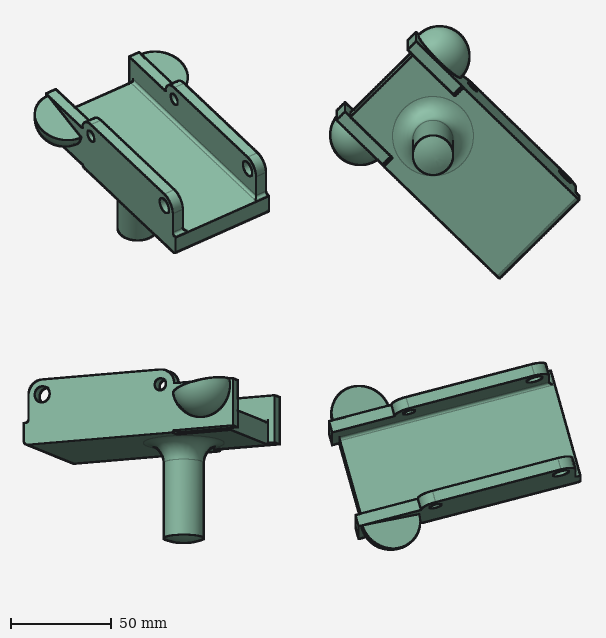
import cadquery as cq
import math

length = 113.9
channel_width = 56.0
wall_thickness = 6.0
wall_height = 32.4
floor_thickness = 11.2
floor_start = 3.6
wall_lug_radius = 7.5
wall_end = 111.4
inner_fillet = 1.5
lower_end_fillet = 2.0
relief_height = 1.0

front_hole_x = 39.5
front_hole_diameter = 6.0
rear_hole_diameter = 8.1
hole_z = wall_height - wall_lug_radius
rear_hole_x = wall_end - wall_lug_radius
lug_start = front_hole_x - wall_lug_radius

ear_diameter = 30.0
ear_radius = ear_diameter / 2
ear_x = 16.5
ear_tilt = 13.0
ear_z = hole_z - ear_radius * math.sin(math.radians(ear_tilt))

post_diameter = 20.0
post_radius = post_diameter / 2
post_flare_radius = 10.0
post_bottom = -50.1
dome_height = 2.0
post_x = front_hole_x


def make_floor():
    slab = cq.Workplane("XY").box(
        length - floor_start, channel_width, floor_thickness, centered=(False, True, False)
    )
    return slab.translate((floor_start, 0, 0))


def make_wall(outer_y):
    """Wall with a stepped top, extruded toward +Y by its thickness."""
    corner = wall_lug_radius * math.sqrt(0.5)
    profile = (
        cq.Workplane("XZ", origin=(0, outer_y, 0))
        .moveTo(0, relief_height)
        .lineTo(0, hole_z)
        .lineTo(lug_start, hole_z)
        .threePointArc(
            (front_hole_x - corner, hole_z + corner), (front_hole_x, wall_height)
        )
        .lineTo(rear_hole_x, wall_height)
        .threePointArc(
            (rear_hole_x + corner, hole_z + corner), (wall_end, hole_z)
        )
        .lineTo(wall_end, 0)
        .lineTo(lug_start + relief_height, 0)
        .lineTo(lug_start, relief_height)
        .close()
    )
    return profile.extrude(-wall_thickness)


def cut_wall_relief(body):
    """Trim the floor edges to clear the raised underside of the walls."""
    for y in (-1, 1):
        relief = (
            cq.Workplane("XZ", origin=(0, y * (channel_width - wall_thickness) / 2, 0))
            .polyline([
                (0, 0),
                (lug_start + relief_height, 0),
                (lug_start, relief_height),
                (0, relief_height),
            ])
            .close()
            .extrude(wall_thickness / 2, both=True)
        )
        body = body.cut(relief)
    return body


def make_post():
    """Revolved post with a flared root and a shallow spherical end."""
    dome_radius = (post_radius**2 + dome_height**2) / (2 * dome_height)
    dome_mid_x = post_radius / 2
    dome_mid_z = post_bottom + dome_radius - math.sqrt(dome_radius**2 - dome_mid_x**2)
    flare_mid = post_flare_radius * (1 - math.sqrt(0.5))
    profile = (
        cq.Workplane("XZ")
        .moveTo(0, floor_thickness / 2)
        .lineTo(0, post_bottom)
        .threePointArc((dome_mid_x, dome_mid_z), (post_radius, post_bottom + dome_height))
        .lineTo(post_radius, -post_flare_radius)
        .threePointArc(
            (post_radius + flare_mid, -flare_mid), (post_radius + post_flare_radius, 0)
        )
        .lineTo(post_radius + post_flare_radius, floor_thickness / 2)
        .close()
    )
    return profile.revolve(360, (0, 0, 0), (0, 1, 0)).translate((post_x, 0, 0))


def make_ear(side):
    """Lower outer quarter of a sphere, with its flat top tilted down toward +X."""
    keep = cq.Workplane("XY").box(
        ear_diameter, ear_radius, ear_radius, centered=(True, False, False)
    )
    keep = keep.translate((0, 0, -ear_radius))
    if side < 0:
        keep = keep.mirror("XZ")
    ear = cq.Workplane("XY").sphere(ear_radius).intersect(keep)
    ear = ear.rotate((0, 0, 0), (0, 1, 0), ear_tilt)
    return ear.translate((ear_x, side * channel_width / 2, ear_z))


def cut_hole(body, x, diameter):
    pin = (
        cq.Workplane("XZ")
        .center(x, hole_z)
        .circle(diameter / 2)
        .extrude(channel_width, both=True)
    )
    return body.cut(pin)


channel = make_floor()
for wall_y in (-channel_width / 2, channel_width / 2 - wall_thickness):
    channel = channel.union(make_wall(wall_y))
channel = cut_wall_relief(channel)
channel = channel.edges("|Y and >X and <Z").fillet(lower_end_fillet)

inner_y = channel_width / 2 - wall_thickness
clearance = 0.1
inner_edges = cq.selectors.BoxSelector(
    (floor_start + clearance, -inner_y - clearance, floor_thickness - clearance),
    (wall_end - clearance, inner_y + clearance, floor_thickness + clearance),
)
end_edges = cq.selectors.BoxSelector(
    (wall_end - clearance, -channel_width / 2, floor_thickness - clearance),
    (wall_end + clearance, channel_width / 2, floor_thickness + clearance),
)
channel = channel.edges(inner_edges + end_edges).fillet(inner_fillet)

channel = cut_hole(channel, front_hole_x, front_hole_diameter)
channel = cut_hole(channel, rear_hole_x, rear_hole_diameter)

result = channel.union(make_post())
for ear_side in (-1, 1):
    result = result.union(make_ear(ear_side))